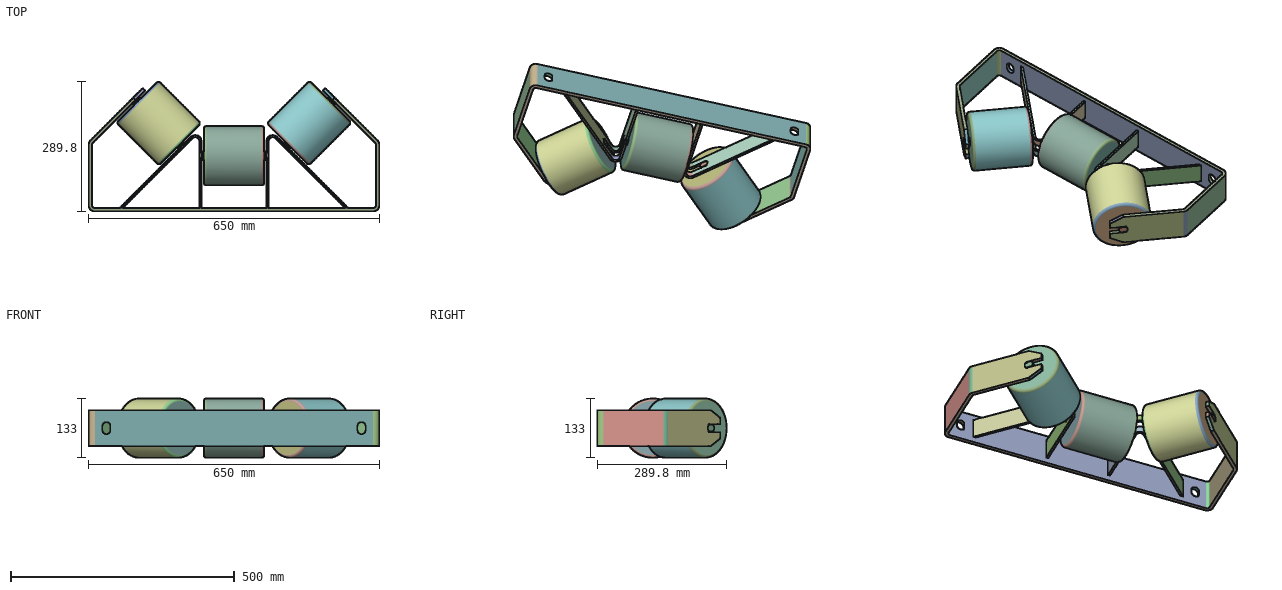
import cadquery as cq
import math

roller_diameter = 133
roller_length = 135
rim_fillet = 6
shaft_diameter = 20
shaft_flat_width = 15
shoulder_length = 142
middle_roller_y = 124.5
side_roller_x = 168.2
side_roller_y = 197.49
side_roller_angle = 45

support_gap = 145

frame_width = 650
frame_height = 80
frame_thickness = 8
frame_bend_radius = 14
arm_overhang = 30
arm_chamfer_along = 30
arm_chamfer_across = 17.5

bracket_height = 50
bracket_thickness = 5
bracket_bend_radius = 14

shaft_slot_width = 18
shaft_slot_length = 60
cutter_reach = 4

mount_slot_spacing = 570
mount_slot_width = 18
mount_slot_height = 27

angle = math.radians(side_roller_angle)
axis_direction = cq.Vector(-math.cos(angle), math.sin(angle), 0)
arm_direction = cq.Vector(math.sin(angle), math.cos(angle), 0)
side_roller_center = cq.Vector(-side_roller_x, side_roller_y, 0)
middle_roller_center = cq.Vector(0, middle_roller_y, 0)


def mirrored(shape):
    return shape.mirror("YZ")


def point_at_x(start, direction, x):
    return start + direction * ((x - start.x) / direction.x)


def point_at_y(start, direction, y):
    return start + direction * ((y - start.y) / direction.y)


def bent_bar(points, outer_radius, thickness, height):
    """Flat bar of upright section that follows the middle line and bends at every inner point."""
    middle_line = cq.Wire.makePolygon(points).fillet(outer_radius - thickness / 2)
    first_direction = points[1] - points[0]
    start = cq.Plane(origin=points[0], xDir=(0, 0, 1), normal=first_direction)
    return cq.Workplane(start).rect(height, thickness).sweep(cq.Workplane(middle_line))


def cylinder(diameter, start_x, end_x):
    """Cylinder on the X axis between two places."""
    return cq.Workplane("YZ", origin=(start_x, 0, 0)).circle(diameter / 2).extrude(end_x - start_x)


def roller(start_support_thickness):
    """Roller on the X axis whose shaft has flats facing +Z and -Z and ends flush with its supports.

    The support on the -X side has the given thickness and the one on the +X side is a bracket.
    """
    drum = cylinder(roller_diameter, -roller_length / 2, roller_length / 2)
    drum = drum.edges("%CIRCLE").fillet(rim_fillet)
    shoulder = cylinder(shaft_diameter, -shoulder_length / 2, shoulder_length / 2)
    start_x = -support_gap / 2 - start_support_thickness
    end_x = support_gap / 2 + bracket_thickness
    flats = cq.Workplane("XY").box(2 * support_gap, shaft_diameter, shaft_flat_width)
    shaft = cylinder(shaft_diameter, start_x, end_x).intersect(flats)
    return drum.union(shoulder).union(shaft)


def shaft_slot(support_thickness):
    """Cutter along +X for one support: a slot open towards +Y whose end fits round the shaft."""
    start_x = support_gap / 2 - support_thickness
    depth = cutter_reach * support_thickness
    plane = cq.Workplane("YZ", origin=(start_x, 0, 0))
    round_end = plane.circle(shaft_diameter / 2).extrude(depth)
    channel = plane.center(shaft_slot_length / 2, 0).rect(shaft_slot_length, shaft_slot_width).extrude(depth)
    band = plane.rect(shaft_diameter, shaft_slot_width).extrude(depth)
    return round_end.intersect(band).union(channel)


def at_side_roller(shape):
    """Turns a shape made along +X so that +X points to the lower support of the left roller."""
    return shape.rotate((0, 0, 0), (0, 0, 1), -side_roller_angle).translate(side_roller_center)


def outer_frame():
    half_width = (frame_width - frame_thickness) / 2
    back_y = frame_thickness / 2
    arm_middle = side_roller_center + axis_direction * (support_gap / 2 + frame_thickness / 2)
    arm_end = arm_middle + arm_direction * arm_overhang
    shoulder_point = point_at_x(arm_middle, arm_direction, -half_width)
    left_side = [arm_end, shoulder_point, cq.Vector(-half_width, back_y, 0)]
    right_side = [cq.Vector(-p.x, p.y, 0) for p in reversed(left_side)]
    return bent_bar(left_side + right_side, frame_bend_radius, frame_thickness, frame_height)


def arm_corner_cutter():
    """Two triangular prisms that bevel the end corners of the left arm."""
    half_height = frame_height / 2
    plane = cq.Workplane("YZ")
    cutter = cq.Workplane("XY")
    for side in (1, -1):
        corner = plane.polyline(
            [
                (arm_overhang, side * half_height),
                (arm_overhang - arm_chamfer_along, side * half_height),
                (arm_overhang, side * (half_height - arm_chamfer_across)),
            ]
        ).close()
        cutter = cutter.add(corner.extrude(-cutter_reach * frame_thickness))
    cutter = cutter.combine().translate((-support_gap / 2 + frame_thickness, 0, 0))
    return at_side_roller(cutter)


def arm_slot_cutter():
    slot = shaft_slot(frame_thickness)
    return at_side_roller(mirrored(slot))


def left_bracket():
    """Bent bar that carries the lower end of the left roller and the left end of the middle one."""
    post_x = -(support_gap + bracket_thickness) / 2
    foot_y = frame_thickness / 2
    leg_middle = side_roller_center - axis_direction * ((support_gap + bracket_thickness) / 2)
    foot = point_at_y(leg_middle, arm_direction, foot_y)
    apex = point_at_x(leg_middle, arm_direction, post_x)
    points = [foot, apex, cq.Vector(post_x, foot_y, 0)]
    bracket = bent_bar(points, bracket_bend_radius, bracket_thickness, bracket_height)
    leg_slot = at_side_roller(shaft_slot(bracket_thickness))
    post_slot = mirrored(shaft_slot(bracket_thickness)).translate(middle_roller_center)
    return bracket.cut(leg_slot).cut(post_slot)


def mounting_slots():
    return (
        cq.Workplane("XZ")
        .pushPoints([(-mount_slot_spacing / 2, 0), (mount_slot_spacing / 2, 0)])
        .slot2D(mount_slot_height, mount_slot_width, 90)
        .extrude(-frame_thickness)
    )


def frame_with_middle_roller():
    """Frame, both brackets and the middle roller, which is fixed in its brackets."""
    frame = outer_frame().cut(mounting_slots())
    for cutter in (arm_corner_cutter(), arm_slot_cutter()):
        frame = frame.cut(cutter).cut(mirrored(cutter))
    bracket = left_bracket()
    frame = frame.union(bracket).union(mirrored(bracket))
    return frame.union(roller(bracket_thickness).translate(middle_roller_center))


frame = frame_with_middle_roller()
left_roller = at_side_roller(roller(frame_thickness))
right_roller = mirrored(left_roller)

result = cq.Compound.makeCompound([frame.val(), left_roller.val(), right_roller.val()])